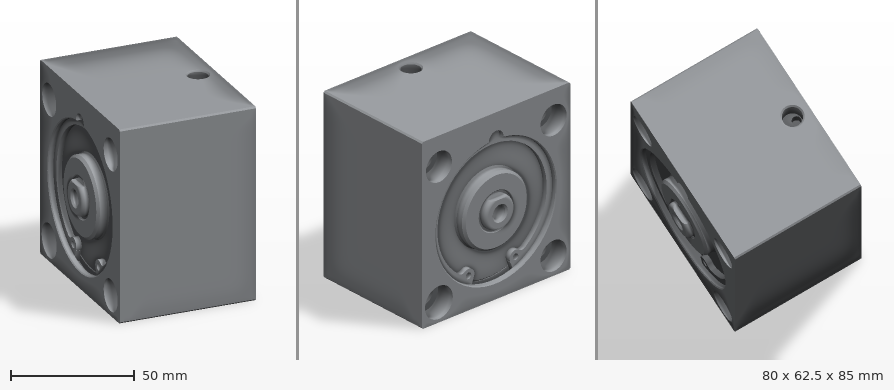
import cadquery as cq
import math

WIDTH = 80.0
DEPTH = 60.0
HEIGHT = 85.0
EDGE_CHAMFER = 0.7

BORE_Z = 39.95
BORE_DIAMETER = 64.8
BORE_CHAMFER = 0.4
BACK_WALL = 4.0
BORE_DEPTH = DEPTH - BACK_WALL

RING_OUTER_DIAMETER = 70.7
RING_INNER_DIAMETER = 58.9
RING_FRONT = 2.55
RING_THICKNESS = 2.5
COVER_FRONT = RING_FRONT + RING_THICKNESS
LUG_X = 12.7
LUG_DROP = 26.0
LUG_DISTANCE = math.hypot(LUG_X, LUG_DROP)
LUG_ANGLE = math.atan2(LUG_X, LUG_DROP)
LUG_RADIUS = 3.15
LUG_HOLE_DIAMETER = 3.0
LUG_FILLET = 2.55

NOTCH_DIAMETER = 8.0
NOTCH_RISE = 32.6

BOLT_OFFSET = 30.85
BOLT_HOLE_DIAMETER = 9.0
COUNTERBORE_DIAMETER = 14.0
LARGE_COUNTERBORE_DIAMETER = 15.0
COUNTERBORE_DEPTH = 9.0

PORT_DIAMETER = 8.6
PORT_CHAMFER = 0.7
PORT_DEPTH = 8.0
PORT_FROM_BACK = 8.0
FEED_DIAMETER = 4.0
FEED_FROM_BACK = BACK_WALL + FEED_DIAMETER / 2

COVER_CHAMFER = 0.5
LIP_DIAMETER = 36.3
LIP_HEIGHT = 0.7

ROD_DIAMETER = 35.0
ROD_CHAMFER = 1.1
RECESS_DIAMETER = 18.0
RECESS_CHAMFER = 0.4
RECESS_DEPTH = 0.85
STUD_DIAMETER = 16.0
STUD_PROTRUSION = 2.5
STUD_FILLET = 1.5
FLAT_OFFSET = STUD_DIAMETER / 2 - STUD_FILLET
FLAT_RUNOUT = 0.85
STUD_HOLE_DIAMETER = 6.6
STUD_HOLE_CHAMFER = 0.8
STUD_HOLE_DEPTH = 8.5


def cylinder(diameter, front, back, x=0.0, z=BORE_Z):
    """Cylinder along Y between two Y positions."""
    axis_start = cq.Vector(x, front, z)
    return cq.Workplane(cq.Solid.makeCylinder(diameter / 2, back - front, axis_start, cq.Vector(0, 1, 0)))


def cone(front_diameter, back_diameter, front, back):
    """Truncated cone on the bore axis between two Y positions."""
    axis_start = cq.Vector(0, front, BORE_Z)
    return cq.Workplane(
        cq.Solid.makeCone(front_diameter / 2, back_diameter / 2, back - front, axis_start, cq.Vector(0, 1, 0))
    )


def vertical_hole(diameter, top, bottom, y):
    """Cylinder along Z, used to drill down from the top face."""
    return cq.Workplane("XY", origin=(0, y, bottom)).circle(diameter / 2).extrude(top - bottom)


def open_disc():
    """Ring blank without its inner opening, less a wedge whose radial sides are tangent to the lugs."""
    gap_angle = LUG_ANGLE - math.asin(LUG_RADIUS / LUG_DISTANCE)
    gap_half_width = RING_OUTER_DIAMETER * math.tan(gap_angle)
    gap = (
        cq.Workplane("XZ", origin=(0, 0, BORE_Z))
        .polyline([
            (0, 0),
            (-gap_half_width, -RING_OUTER_DIAMETER),
            (gap_half_width, -RING_OUTER_DIAMETER),
        ])
        .close()
        .extrude(-DEPTH)
    )
    return cylinder(RING_OUTER_DIAMETER, RING_FRONT, COVER_FRONT).cut(gap)


def cut_mounting_holes(block):
    for x_side in (-1, 1):
        for z_side in (-1, 1):
            x = x_side * BOLT_OFFSET
            z = BORE_Z + z_side * BOLT_OFFSET
            is_large = x_side < 0 and z_side < 0
            counterbore = LARGE_COUNTERBORE_DIAMETER if is_large else COUNTERBORE_DIAMETER
            block = block.cut(cylinder(BOLT_HOLE_DIAMETER, 0, DEPTH, x, z))
            block = block.cut(cylinder(counterbore, 0, COUNTERBORE_DEPTH, x, z))
    return block


def cut_oil_port(block):
    port_y = DEPTH - PORT_FROM_BACK
    port = vertical_hole(PORT_DIAMETER, HEIGHT, HEIGHT - PORT_DEPTH, port_y)
    mouth = (
        cq.Workplane("XY", origin=(0, port_y, HEIGHT))
        .circle(PORT_DIAMETER / 2 + PORT_CHAMFER)
        .workplane(offset=-PORT_CHAMFER)
        .circle(PORT_DIAMETER / 2)
        .loft()
    )
    feed = vertical_hole(FEED_DIAMETER, HEIGHT - PORT_DEPTH, BORE_Z, DEPTH - FEED_FROM_BACK)
    return block.cut(port).cut(mouth).cut(feed)


def make_housing():
    block = (
        cq.Workplane("XY")
        .box(WIDTH, DEPTH, HEIGHT, centered=(True, False, False))
        .edges("|Y")
        .chamfer(EDGE_CHAMFER)
    )
    block = block.cut(cylinder(BORE_DIAMETER, 0, BORE_DEPTH))
    block = block.cut(cone(BORE_DIAMETER + 2 * BORE_CHAMFER, BORE_DIAMETER, 0, BORE_CHAMFER))
    block = block.cut(cylinder(RING_OUTER_DIAMETER, RING_FRONT, COVER_FRONT))
    block = block.cut(cylinder(NOTCH_DIAMETER, 0, RING_FRONT, 0, BORE_Z + NOTCH_RISE))
    return cut_oil_port(cut_mounting_holes(block))


def make_retaining_ring():
    """Open ring with two plier lugs beside its gap."""
    back = COVER_FRONT
    ring = open_disc().cut(cylinder(RING_INNER_DIAMETER, RING_FRONT, back))
    lug_z = BORE_Z - LUG_DROP
    for side in (-1, 1):
        ring = ring.union(cylinder(2 * LUG_RADIUS, RING_FRONT, back, side * LUG_X, lug_z))

    middle = (RING_FRONT + back) / 2
    inner_radius = RING_INNER_DIAMETER / 2
    half_angle = math.acos(
        (inner_radius**2 + LUG_DISTANCE**2 - LUG_RADIUS**2) / (2 * inner_radius * LUG_DISTANCE)
    )
    corner_angle = LUG_ANGLE + half_angle
    corner_x = inner_radius * math.sin(corner_angle)
    corner_z = BORE_Z - inner_radius * math.cos(corner_angle)
    for side in (-1, 1):
        corner = cq.selectors.NearestToPointSelector((side * corner_x, middle, corner_z))
        ring = ring.edges("|Y").edges(corner).fillet(LUG_FILLET)

    for side in (-1, 1):
        ring = ring.cut(cylinder(LUG_HOLE_DIAMETER, RING_FRONT, back, side * LUG_X, lug_z))
    return ring


def make_stud():
    """Round stud with a rounded end and two flats that slope out again below the rod face."""
    stud = cylinder(STUD_DIAMETER, -STUD_PROTRUSION, RECESS_DEPTH).faces("<Y").edges().fillet(STUD_FILLET)
    flat_profile = (
        cq.Workplane("YZ", origin=(-STUD_DIAMETER / 2, 0, BORE_Z))
        .polyline([
            (-STUD_PROTRUSION, FLAT_OFFSET),
            (0, FLAT_OFFSET),
            (FLAT_RUNOUT, STUD_DIAMETER / 2),
            (-STUD_PROTRUSION, STUD_DIAMETER / 2),
        ])
        .close()
        .extrude(STUD_DIAMETER)
    )
    axis_start = (0, 0, BORE_Z)
    axis_end = (0, 1, BORE_Z)
    return stud.cut(flat_profile).cut(flat_profile.rotate(axis_start, axis_end, 180))


def make_rod_and_cover():
    cover = cylinder(BORE_DIAMETER, COVER_FRONT, BORE_DEPTH).faces("<Y").edges().chamfer(COVER_CHAMFER)
    lip = cone(ROD_DIAMETER, LIP_DIAMETER, COVER_FRONT - LIP_HEIGHT, COVER_FRONT)
    rod = cylinder(ROD_DIAMETER, 0, BORE_DEPTH).faces("<Y").edges().chamfer(ROD_CHAMFER)
    body = cover.union(lip).union(rod)
    body = body.cut(cylinder(RECESS_DIAMETER, 0, RECESS_DEPTH))
    body = body.cut(cone(RECESS_DIAMETER + 2 * RECESS_CHAMFER, RECESS_DIAMETER, 0, RECESS_CHAMFER))
    body = body.union(make_stud())

    hole_back = STUD_HOLE_DEPTH - STUD_PROTRUSION
    body = body.cut(cylinder(STUD_HOLE_DIAMETER, -STUD_PROTRUSION, hole_back))
    hole_mouth = cone(
        STUD_HOLE_DIAMETER + 2 * STUD_HOLE_CHAMFER,
        STUD_HOLE_DIAMETER,
        -STUD_PROTRUSION,
        STUD_HOLE_CHAMFER - STUD_PROTRUSION,
    )
    return body.cut(hole_mouth)


housing = make_housing().solids()
retaining_ring = make_retaining_ring().solids()
rod_and_cover = make_rod_and_cover().solids()

result = cq.Compound.makeCompound([housing.val(), retaining_ring.val(), rod_and_cover.val()])